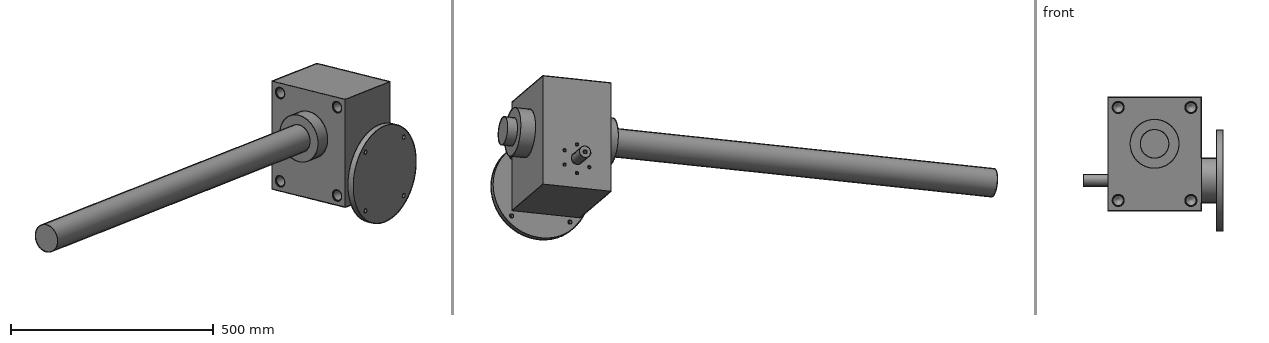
import cadquery as cq
import math


neck_diameter = 110.0
neck_length = 37.0
flange_diameter = 250.0
flange_thickness = 17.0
flange_hole_diameter = 10.1
flange_hole_count = 4
flange_bolt_radius = 108.0

overall_height = 330.0
block_x = 230.0
block_y = 178.0
block_z = 280.0
block_top = overall_height - flange_diameter / 2
block_bottom = block_top - block_z

screw_below_top = 115.0
axis_spacing = block_top - screw_below_top
screw_diameter = 70.0
screw_length = 1281.0
screw_rear_overhang = 25.0
collar_diameter = 120.0
collar_length = 38.0
screw_rear_end = block_y / 2 + collar_length + screw_rear_overhang

drill_tip_angle = 118.0

mount_hole_diameter = 25.0
mount_mouth_diameter = 30.0
mount_hole_depth = 38.0
mount_hole_margin = 25.0

ring_hole_diameter = 6.7
ring_mouth_diameter = 8.0
ring_hole_depth = 15.0
ring_hole_count = 6
ring_radius = 37.0

shaft_diameter = 30.0
shaft_length = 60.0
centre_hole_diameter = 8.3
centre_mouth_diameter = 10.1
centre_hole_depth = 19.0


def cylinder_x(diameter, length, start_x):
    """Cylinder on the input axis, growing toward +X from start_x."""
    return cq.Workplane("YZ", origin=(start_x, 0, 0)).circle(diameter / 2).extrude(length)


def cylinder_y(diameter, length, start_y):
    """Cylinder on the screw axis, growing toward -Y from start_y."""
    return cq.Workplane("XZ", origin=(0, start_y, axis_spacing)).circle(diameter / 2).extrude(length)


def drilled_hole_cutter(diameter, mouth_diameter, depth):
    """Blind hole along +Z from the origin, with a 45 degree countersink and a conical end."""
    radius = diameter / 2
    mouth_radius = mouth_diameter / 2
    countersink_depth = mouth_radius - radius
    tip_depth = depth + radius / math.tan(math.radians(drill_tip_angle / 2))
    return (
        cq.Workplane("XZ")
        .moveTo(0, 0)
        .lineTo(mouth_radius, 0)
        .lineTo(radius, countersink_depth)
        .lineTo(radius, depth)
        .lineTo(0, tip_depth)
        .close()
        .revolve(360, (0, 0, 0), (0, 1, 0))
    )


def turned_to_y(cutter):
    """The same cutter, pointing along +Y instead of +Z."""
    return cutter.rotate((0, 0, 0), (1, 0, 0), -90)


def turned_to_x(cutter):
    """The same cutter, pointing along +X instead of +Z."""
    return cutter.rotate((0, 0, 0), (0, 1, 0), 90)


def cut_mounting_holes(body):
    """Cut the corner holes into the front face."""
    cutter = turned_to_y(drilled_hole_cutter(mount_hole_diameter, mount_mouth_diameter, mount_hole_depth))
    half_span = block_x / 2 - mount_hole_margin
    for x in (-half_span, half_span):
        for z in (block_bottom + mount_hole_margin, block_top - mount_hole_margin):
            body = body.cut(cutter.translate((x, -block_y / 2, z)))
    return body


def cut_ring_holes(body):
    """Cut the small holes around the input shaft, the first one straight above it."""
    cutter = turned_to_x(drilled_hole_cutter(ring_hole_diameter, ring_mouth_diameter, ring_hole_depth))
    first_hole = cutter.translate((-block_x / 2, 0, ring_radius))
    for index in range(ring_hole_count):
        angle = index * 360 / ring_hole_count
        body = body.cut(first_hole.rotate((0, 0, 0), (1, 0, 0), angle))
    return body


def make_housing():
    """Block with a collar at each end of the screw bore."""
    block = cq.Workplane("XY", origin=(0, 0, block_bottom)).box(
        block_x, block_y, block_z, centered=(True, True, False)
    )
    sleeve_length = block_y + 2 * collar_length
    sleeve_rear_end = sleeve_length / 2
    sleeve = cylinder_y(collar_diameter, sleeve_length, sleeve_rear_end)
    screw_bore = cylinder_y(screw_diameter, sleeve_length, sleeve_rear_end)
    housing_body = block.union(sleeve).cut(screw_bore)
    return cut_ring_holes(cut_mounting_holes(housing_body))


def make_screw():
    """Plain round screw running through the housing."""
    return cylinder_y(screw_diameter, screw_length, screw_rear_end)


def make_input_shaft():
    """Shaft stub standing on the -X face of the housing."""
    free_end = -block_x / 2 - shaft_length
    centre_hole = turned_to_x(
        drilled_hole_cutter(centre_hole_diameter, centre_mouth_diameter, centre_hole_depth)
    ).translate((free_end, 0, 0))
    shaft = cylinder_x(shaft_diameter, shaft_length, free_end)
    return shaft.cut(centre_hole)


def make_motor_adapter():
    """Neck on the +X face of the housing, ending in a drilled flange."""
    neck_start = block_x / 2
    flange_start = neck_start + neck_length
    neck = cylinder_x(neck_diameter, neck_length, neck_start)
    flange = cylinder_x(flange_diameter, flange_thickness, flange_start)
    bolt_holes = (
        cq.Workplane("YZ", origin=(flange_start, 0, 0))
        .polarArray(flange_bolt_radius, 45, 360, flange_hole_count)
        .circle(flange_hole_diameter / 2)
        .extrude(flange_thickness)
    )
    return neck.union(flange).cut(bolt_holes)


housing = make_housing()
screw = make_screw()
input_shaft = make_input_shaft()
motor_adapter = make_motor_adapter()

result = cq.Compound.makeCompound(
    [housing.val(), screw.val(), input_shaft.val(), motor_adapter.val()]
)